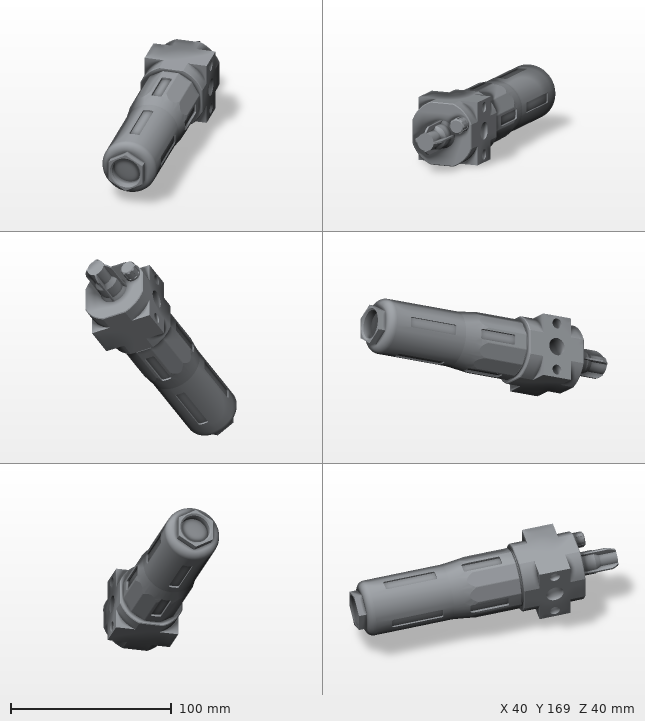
import cadquery as cq
import math


BLOCK_SIDE = 40.0
BLOCK_LENGTH = 39.5
BAND_LENGTH = 20.0
CORNER_DIAMETER = 43.0
END_CHAMFER = 0.5
PORT_DIAMETER = 11.2
MOUNT_HOLE_DIAMETER = 6.5
MOUNT_HOLE_OFFSET = 15.0

OVERALL_LENGTH = 169.0
DOME_TOP = 45.0
BLOCK_TOP = BLOCK_LENGTH / 2
BLOCK_BOTTOM = -BLOCK_TOP
NUT_END = DOME_TOP - OVERALL_LENGTH
NUT_HEIGHT = 4.9
BOWL_END = NUT_END + NUT_HEIGHT

COLLAR_DIAMETER = 36.0
COLLAR_HEIGHT = 0.7
NECK_DIAMETER = 34.6
NECK_HEIGHT = 1.5

GRIP_TOP = BLOCK_BOTTOM - NECK_HEIGHT
GRIP_SIDES = 12
GRIP_ACROSS_FLATS = 37.2
GRIP_CORNER_RADIUS = GRIP_ACROSS_FLATS / 2 / math.cos(math.pi / GRIP_SIDES)
GRIP_BLUNTING = 0.07
GRIP_TURNED_RADIUS = GRIP_CORNER_RADIUS - GRIP_BLUNTING
FLARE_START = -49.2
FLARE_MIDDLE = -53.7
FLARE_END = -64.4
BOWL_DIAMETER = 34.8
BOWL_ROUNDING = 4.5

UPPER_FLOOR_DIAMETER = 34.6
LOWER_FLOOR_DIAMETER = 32.6
WINDOW_WIDTH = 6.6
WINDOW_ROUNDING = 1.0
UPPER_WINDOW = (-54.0, -29.2)
LOWER_WINDOW = (-104.5, -71.3)
WINDOW_COUNT = 4

NUT_SIDES = 6
NUT_ACROSS_FLATS = 21.8
NUT_BORE_DIAMETER = 18.0
NUT_BORE_DEPTH = 6.5
NUT_BORE_CHAMFER = 1.0

FIN_COUNT = 4
STEM_RADIUS = 5.5
CORE_RADIUS = 7.5
DOME_RADIUS = 9.0
STEM_BOTTOM = 33.8
CORE_TOP = 30.5
CORE_BOTTOM = 22.1
FIN_THICKNESS = 1.2
FIN_TIP_RADIUS = 6.3
FIN_SHOULDER = 40.2
FIN_ARC_RADIUS = 7.8
FIN_ARC_HEIGHT = 43.0

SCREW_DIAMETER = 10.0
SCREW_X = -13.5
SCREW_Z = 7.6
SCREW_TOP = 28.0
SCREW_CHAMFER = 1.0
FLUTE_COUNT = 8
FLUTE_WIDTH = 2.0
FLUTE_DEPTH = 0.5
FLUTE_BOTTOM = 21.3
FLUTE_START_ANGLE = -14.0


def along_axis(start):
    """Workplane across the axis at Y = start; local y is Z and extrusion goes towards +Y."""
    return cq.Workplane("XZ", origin=(0, start, 0)).transformed(rotate=(180, 0, 180))


def revolved(profile):
    """Turn a closed (radius, Y) profile around the Y axis."""
    return profile.close().revolve(360, (0, 0, 0), (0, 1, 0))


def around_axis(shape, count):
    """Union of copies of a shape, evenly turned around the Y axis."""
    copies = shape
    for i in range(1, count):
        copies = copies.union(shape.rotate((0, 0, 0), (0, 1, 0), i * 360 / count))
    return copies


def polygon_prism(sides, across_flats, start, end):
    """Regular prism along Y with flats facing +X and -X."""
    corner_diameter = across_flats / math.cos(math.pi / sides)
    prism = along_axis(start).polygon(sides, corner_diameter).extrude(end - start)
    return prism.rotate((0, 0, 0), (0, 1, 0), 180 / sides)


def valve_block():
    rounded = along_axis(BLOCK_BOTTOM).rect(BLOCK_SIDE, BLOCK_SIDE).extrude(BLOCK_LENGTH)
    rounded = rounded.intersect(along_axis(BLOCK_BOTTOM).circle(CORNER_DIAMETER / 2).extrude(BLOCK_LENGTH))
    rounded = rounded.faces("<Y or >Y").chamfer(END_CHAMFER)
    block = rounded.union(cq.Workplane("XY").box(BLOCK_SIDE, BAND_LENGTH, BLOCK_SIDE))
    port = cq.Workplane("YZ").circle(PORT_DIAMETER / 2).extrude(BLOCK_SIDE, both=True)
    mounts = (
        cq.Workplane("YZ")
        .pushPoints([(0, MOUNT_HOLE_OFFSET), (0, -MOUNT_HOLE_OFFSET)])
        .circle(MOUNT_HOLE_DIAMETER / 2)
        .extrude(BLOCK_SIDE, both=True)
    )
    return block.cut(port).cut(mounts)


def neck():
    collar_bottom = BLOCK_BOTTOM - COLLAR_HEIGHT
    collar = along_axis(collar_bottom).circle(COLLAR_DIAMETER / 2).extrude(COLLAR_HEIGHT)
    return collar.union(along_axis(GRIP_TOP).circle(NECK_DIAMETER / 2).extrude(NECK_HEIGHT))


def windows(span, floor_diameter):
    """Cutter for one ring of windows, reaching down to a cylindrical floor."""
    bottom, top = span
    length = top - bottom
    cutter = cq.Workplane("XY").center(0, (bottom + top) / 2).rect(WINDOW_WIDTH, length)
    cutter = cutter.extrude(GRIP_CORNER_RADIUS).edges("|Z").fillet(WINDOW_ROUNDING)
    floor = along_axis(bottom).circle(floor_diameter / 2).extrude(length)
    return around_axis(cutter.cut(floor), WINDOW_COUNT)


def bowl_guard():
    bowl_radius = BOWL_DIAMETER / 2
    guard = revolved(
        cq.Workplane("XY")
        .moveTo(0, GRIP_TOP)
        .lineTo(GRIP_TURNED_RADIUS, GRIP_TOP)
        .lineTo(GRIP_TURNED_RADIUS, FLARE_START)
        .threePointArc((GRIP_ACROSS_FLATS / 2, FLARE_MIDDLE), (bowl_radius, FLARE_END))
        .lineTo(bowl_radius, BOWL_END)
        .lineTo(0, BOWL_END)
    )
    guard = guard.faces("<Y").edges().fillet(BOWL_ROUNDING)
    guard = guard.intersect(polygon_prism(GRIP_SIDES, GRIP_ACROSS_FLATS, BOWL_END, GRIP_TOP))
    guard = guard.cut(windows(UPPER_WINDOW, UPPER_FLOOR_DIAMETER))
    return guard.cut(windows(LOWER_WINDOW, LOWER_FLOOR_DIAMETER))


def drain_nut():
    return polygon_prism(NUT_SIDES, NUT_ACROSS_FLATS, NUT_END, BOWL_END)


def drain_bore():
    bore_radius = NUT_BORE_DIAMETER / 2
    return revolved(
        cq.Workplane("XY")
        .moveTo(0, NUT_END)
        .lineTo(bore_radius + NUT_BORE_CHAMFER, NUT_END)
        .lineTo(bore_radius, NUT_END + NUT_BORE_CHAMFER)
        .lineTo(bore_radius, NUT_END + NUT_BORE_DEPTH)
        .lineTo(0, NUT_END + NUT_BORE_DEPTH)
    )


def drip_dome():
    core = revolved(
        cq.Workplane("XY")
        .moveTo(0, BLOCK_TOP)
        .lineTo(DOME_RADIUS, BLOCK_TOP)
        .lineTo(CORE_RADIUS, CORE_BOTTOM)
        .lineTo(CORE_RADIUS, CORE_TOP)
        .lineTo(STEM_RADIUS, STEM_BOTTOM)
        .lineTo(STEM_RADIUS, DOME_TOP)
        .lineTo(0, DOME_TOP)
    )
    envelope = revolved(
        cq.Workplane("XY")
        .moveTo(0, BLOCK_TOP)
        .lineTo(DOME_RADIUS, BLOCK_TOP)
        .lineTo(DOME_RADIUS, FIN_SHOULDER)
        .threePointArc((FIN_ARC_RADIUS, FIN_ARC_HEIGHT), (FIN_TIP_RADIUS, DOME_TOP))
        .lineTo(0, DOME_TOP)
    )
    fin = (
        along_axis(BLOCK_TOP)
        .center(DOME_RADIUS / 2, 0)
        .rect(DOME_RADIUS, FIN_THICKNESS)
        .extrude(DOME_TOP - BLOCK_TOP)
    )
    return core.union(around_axis(fin, FIN_COUNT).intersect(envelope))


def adjusting_screw():
    radius = SCREW_DIAMETER / 2
    screw = along_axis(BLOCK_TOP).circle(radius).extrude(SCREW_TOP - BLOCK_TOP)
    screw = screw.faces(">Y").chamfer(SCREW_CHAMFER)
    flute = (
        along_axis(FLUTE_BOTTOM)
        .center(radius, 0)
        .rect(2 * FLUTE_DEPTH, FLUTE_WIDTH)
        .extrude(SCREW_TOP - FLUTE_BOTTOM)
        .rotate((0, 0, 0), (0, 1, 0), FLUTE_START_ANGLE)
    )
    return screw.cut(around_axis(flute, FLUTE_COUNT)).translate((SCREW_X, 0, SCREW_Z))


result = (
    valve_block()
    .union(neck())
    .union(bowl_guard())
    .union(drain_nut())
    .union(drip_dome())
    .union(adjusting_screw())
    .cut(drain_bore())
)